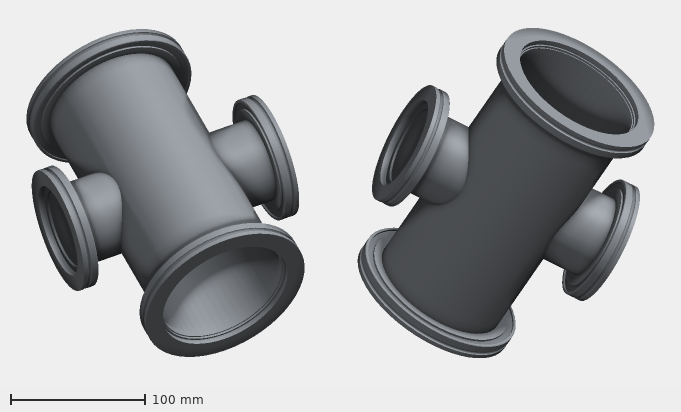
import cadquery as cq

length_x = 216.0
span_y = 176.0

main_tube_radius = 51.0
main_bore_radius = 49.0
stub_radius = 31.8

main_flange_radius = 65.0
main_lip_radius = 50.0
main_recess_radius = 51.2
stub_flange_radius = 47.5
stub_lip_radius = 30.2
stub_recess_radius = 35.2

flange_thickness = 11.9
main_recess_depth = 4.0
stub_recess_depth = 5.0
lip_thickness = 1.7
rim_groove_start = 3.2
rim_groove_width = 3.0
rim_groove_depth = rim_groove_width / 2
back_chamfer = 0.5

back_groove_depth = 1.5
back_groove_width = 5.2
back_groove_rim = 2.2


def make_flange(outer_radius, recess_radius, recess_depth, lip_radius, tube_radius):
    """Flange around Z: sealing face at Z = 0, back face at Z = flange_thickness."""
    groove_outer = outer_radius - back_groove_rim
    groove_inner = groove_outer - back_groove_width
    back_groove_floor = flange_thickness - back_groove_depth
    tube_end_depth = recess_depth + lip_thickness
    rim_groove_end = rim_groove_start + rim_groove_width
    rim_groove_bottom = (outer_radius - rim_groove_depth, rim_groove_start + rim_groove_width / 2)
    section = (
        cq.Workplane("XZ")
        .moveTo(recess_radius, 0)
        .lineTo(outer_radius, 0)
        .lineTo(outer_radius, rim_groove_start)
        .threePointArc(rim_groove_bottom, (outer_radius, rim_groove_end))
        .lineTo(outer_radius, flange_thickness - back_chamfer)
        .lineTo(outer_radius - back_chamfer, flange_thickness)
        .lineTo(groove_outer, flange_thickness)
        .lineTo(groove_outer, back_groove_floor)
        .lineTo(groove_inner, back_groove_floor)
        .lineTo(groove_inner, flange_thickness)
        .lineTo(tube_radius, flange_thickness)
        .lineTo(tube_radius, tube_end_depth)
        .lineTo(lip_radius, tube_end_depth)
        .lineTo(lip_radius, recess_depth)
        .lineTo(recess_radius, recess_depth)
        .close()
    )
    return section.revolve(360, (0, 0, 0), (0, 1, 0))


def make_cross_body():
    """Main tube, open at both ends, with two solid side stubs on its wall."""
    tube_length = length_x - 2 * (main_recess_depth + lip_thickness)
    stub_span = span_y - 2 * (stub_recess_depth + lip_thickness)
    tube = cq.Workplane("YZ").circle(main_tube_radius).extrude(tube_length / 2, both=True)
    stubs = cq.Workplane("XZ").circle(stub_radius).extrude(stub_span / 2, both=True)
    bore = cq.Workplane("YZ").circle(main_bore_radius).extrude(tube_length / 2, both=True)
    return tube.union(stubs).cut(bore)


cross_body = make_cross_body()

main_flange = make_flange(
    main_flange_radius, main_recess_radius, main_recess_depth, main_lip_radius, main_tube_radius
)
left_main_flange = main_flange.rotate((0, 0, 0), (0, 1, 0), 90).translate((-length_x / 2, 0, 0))
main_flanges = [left_main_flange.rotate((0, 0, 0), (0, 0, 1), turn) for turn in (0, 180)]

stub_flange = make_flange(
    stub_flange_radius, stub_recess_radius, stub_recess_depth, stub_lip_radius, stub_radius
)
front_stub_flange = stub_flange.rotate((0, 0, 0), (1, 0, 0), -90).translate((0, -span_y / 2, 0))
stub_flanges = [front_stub_flange.rotate((0, 0, 0), (0, 0, 1), turn) for turn in (0, 180)]

result = cq.Compound.makeCompound(
    [cross_body.val()] + [flange.val() for flange in main_flanges + stub_flanges]
)